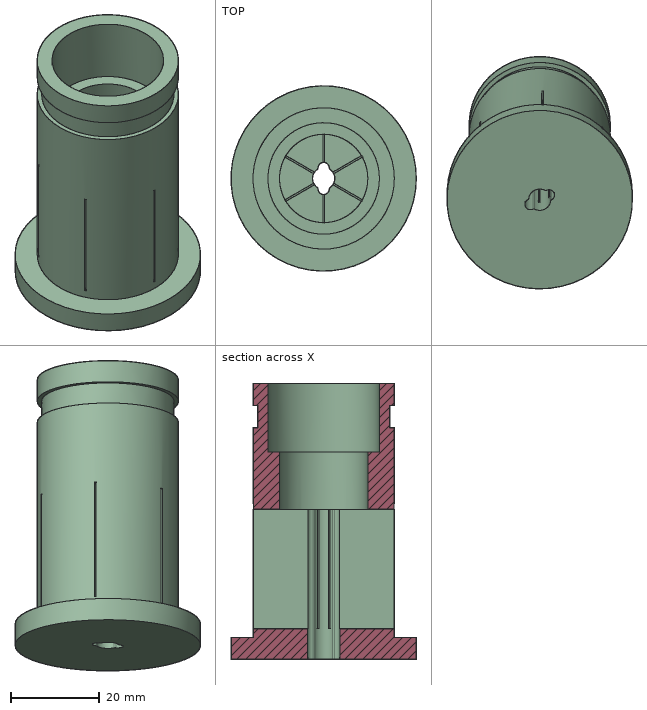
import cadquery as cq

total_height = 62.5
flange_diameter = 42.0
flange_height = 5.0
body_diameter = 32.0

collar_height = 5.0
groove_height = 5.0
groove_diameter = 30.0

upper_bore_diameter = 25.25
upper_bore_depth = 15.5
lower_bore_diameter = 20.0

slot_count = 6
slot_width = 0.4
slot_bottom = 7.0
slot_height = 27.0
core_top = slot_bottom + slot_height

center_hole_diameter = 5.0
lobe_diameter = 2.5
lobe_blend_radius = 0.5
lobe_offset = 2.4


def cylinder(diameter, bottom, top, x=0, y=0):
    """Vertical cylinder between two heights."""
    base = cq.Workplane("XY", origin=(x, y, bottom))
    return base.circle(diameter / 2).extrude(top - bottom)


def make_outer_body():
    """Flange, sleeve, groove neck and top collar."""
    collar_bottom = total_height - collar_height
    groove_bottom = collar_bottom - groove_height
    flange = cylinder(flange_diameter, 0, flange_height)
    sleeve = cylinder(body_diameter, flange_height, groove_bottom)
    neck = cylinder(groove_diameter, groove_bottom, collar_bottom)
    collar = cylinder(body_diameter, collar_bottom, total_height)
    return flange.union(sleeve).union(neck).union(collar)


def make_stepped_bore():
    """Wide bore at the top and a narrower one down to the core."""
    ledge = total_height - upper_bore_depth
    upper_bore = cylinder(upper_bore_diameter, ledge, total_height)
    lower_bore = cylinder(lower_bore_diameter, core_top, ledge)
    return upper_bore.union(lower_bore)


def make_lobed_hole():
    """Central opening through the core and flange, blended where the lobes meet the hole."""
    hole = cylinder(center_hole_diameter, 0, core_top)
    for side in (-1, 1):
        hole = hole.union(cylinder(lobe_diameter, 0, core_top, y=side * lobe_offset))
    return hole.edges("|Z").edges("<X or >X").fillet(lobe_blend_radius)


def make_slots():
    """Slots across the full sleeve; each cutter makes two opposite slots."""
    slots = cq.Workplane("XY")
    for index in range(slot_count // 2):
        angle = index * 360 / slot_count
        cutter = (
            cq.Workplane("XY", origin=(0, 0, slot_bottom))
            .rect(slot_width, flange_diameter)
            .extrude(slot_height)
            .rotate((0, 0, 0), (0, 0, 1), angle)
        )
        slots = slots.add(cutter)
    return slots.combine()


result = (
    make_outer_body()
    .cut(make_stepped_bore())
    .cut(make_lobed_hole())
    .cut(make_slots())
)